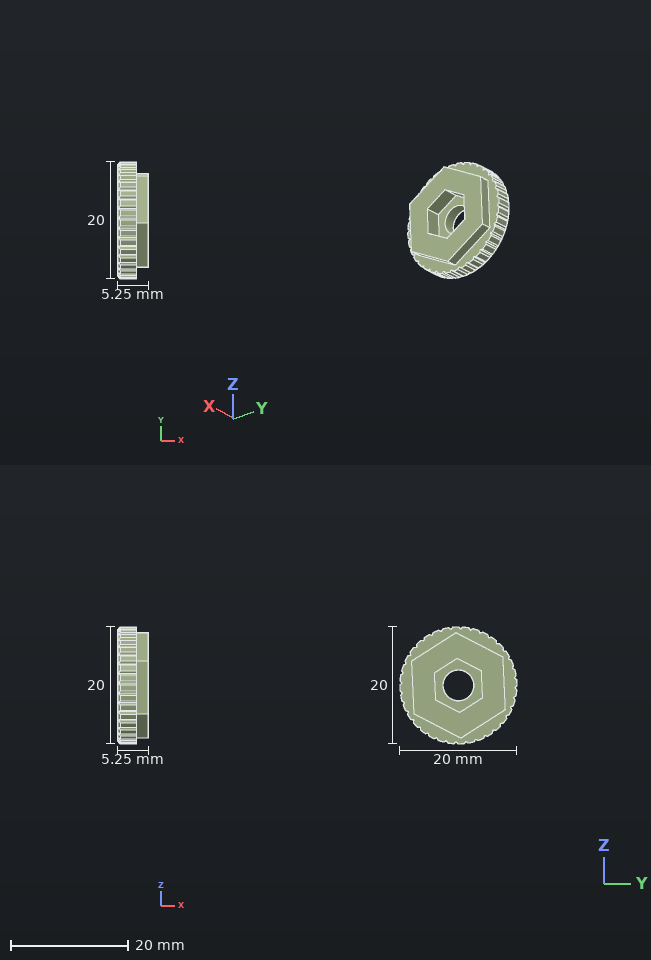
import cadquery as cq
import math

disc_diameter = 20.0
disc_thickness = 3.25
rim_chamfer = 0.5
knurl_count = 36
groove_depth = 0.345
groove_angle = 93.5
boss_across_flats = 15.58
boss_height = 2.0
bore_diameter = 5.2
nut_across_flats = 8.0
nut_pocket_depth = 3.0

part_twist = 2.63

total_length = disc_thickness + boss_height
disc_radius = disc_diameter / 2
knurl_pitch = 360.0 / knurl_count


def rotate_about_x(solid, angle):
    return solid.rotate((0, 0, 0), (1, 0, 0), angle)


def hexagonal_prism(across_flats, start, length):
    """Prism along +X with two corners near the Z axis, turned by the shared twist."""
    across_corners = across_flats / math.cos(math.radians(30))
    outline = cq.Workplane("YZ").workplane(offset=start).polygon(6, across_corners)
    return rotate_about_x(outline.extrude(length), 90 + part_twist)


def chamfered_disc():
    disc = cq.Workplane("YZ").circle(disc_radius).extrude(disc_thickness)
    return disc.faces("<X").edges().chamfer(rim_chamfer)


def cut_knurl(disc):
    """Cut V grooves through the rim, with a tooth centred on each boss corner."""
    groove_root = disc_radius - groove_depth
    cutter_top = disc_radius + groove_depth
    cutter_half_width = 2 * groove_depth * math.tan(math.radians(groove_angle / 2))
    groove = (
        cq.Workplane("YZ")
        .moveTo(0, groove_root)
        .lineTo(cutter_half_width, cutter_top)
        .lineTo(-cutter_half_width, cutter_top)
        .close()
        .extrude(disc_thickness)
    )
    for index in range(knurl_count):
        groove_position = part_twist + (index + 0.5) * knurl_pitch
        disc = disc.cut(rotate_about_x(groove, groove_position))
    return disc


knurled_disc = cut_knurl(chamfered_disc())
boss = hexagonal_prism(boss_across_flats, disc_thickness, boss_height)
bore = cq.Workplane("YZ").circle(bore_diameter / 2).extrude(total_length)
nut_pocket = hexagonal_prism(nut_across_flats, total_length - nut_pocket_depth, nut_pocket_depth)

result = knurled_disc.union(boss).cut(bore).cut(nut_pocket)